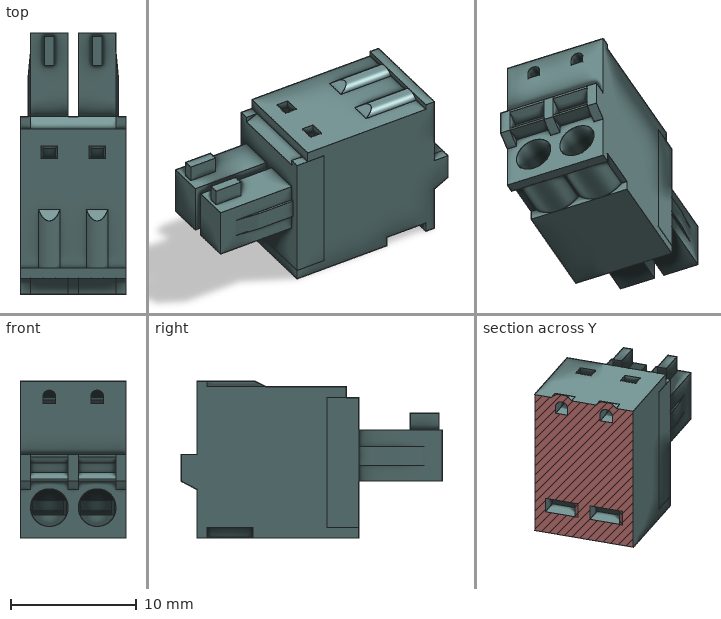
import cadquery as cq


pole_pitch = 3.8
pole_width = 3.0
pole_sides = (-1, 1)
poles_half_width = (pole_pitch + pole_width) / 2

width = 8.42
height = 12.5
top_z = 12.06
front_plate_depth = 0.81
top_rear_y = 11.88
rear_y = 12.88

nose_depth = 1.27
nose_top_z = 6.68
nose_bottom_z = 4.53
nose_chamfer_z = 3.87
button_pocket_depth = 2.08

ridge_width = 1.7
ridge_end_y = 5.5
ridge_full_y = 4.58

wire_z = 2.43
wire_bore_depth = 2.5
slot_width = 2.75
slot_height = 1.15
slot_bottom_z = wire_z - slot_height / 2
slot_top_z = wire_z + slot_height / 2
funnel_depth = (pole_width - slot_height) / 2
clamp_y = wire_bore_depth + funnel_depth
chamber_end_y = 6.25

notch_end_y = 4.47
notch_height = 0.83

test_width = 1.0
test_bottom_z = 10.73
test_axis_z = 11.27
test_end_y = 9.55
test_end_ceiling_z = 11.2
test_ceiling_drop_y = 8.7
test_top_z = test_axis_z + test_width / 2
window_width = 1.3
window_rear_y = 10.55
window_floor_z = 11.48
ramp_rear_y = 10.34
ramp_bottom_z = 10.98

frame_front_y = 10.35
frame_bottom_z = notch_height
frame_top_z = 11.2
frame_slope_drop = 0.44
socket_end_y = 19.53
socket_bottom_z = 4.53
socket_top_z = 8.61
key_width = 0.77
key_top_z = 9.95
key_start_y = 16.95
key_end_y = 19.26
side_rib_thickness = 0.19
side_rib_bottom_z = 5.8
side_rib_top_z = 7.3
side_rib_full_y = 16.08
side_rib_end_y = 18.05

grip_depth = 1.06
grip_top_z = 6.47
grip_back_top_z = 6.0
grip_back_bottom_z = 5.25
grip_bottom_z = 4.72

contact_thickness = 0.25
spring_side_gap = 0.05
spring_bend_y = clamp_y + 0.37
spring_bend_z = 2.2
spring_tip_y = spring_bend_y + 0.08
spring_tip_z = 2.08
spring_foot_y = spring_tip_y + 0.42


def block(x_range, y_range, z_range):
    """Box between the given limits."""
    (x0, x1), (y0, y1), (z0, z1) = x_range, y_range, z_range
    return cq.Workplane("XY").box(x1 - x0, y1 - y0, z1 - z0, centered=False).translate((x0, y0, z0))


def centred(x, size):
    """Limits of a span of the given size centred on x."""
    return (x - size / 2, x + size / 2)


def side_profile(points, x_range):
    """Prism along X from (y, z) points."""
    x0, x1 = x_range
    return cq.Workplane("YZ").polyline(points).close().extrude(x1 - x0).translate((x0, 0, 0))


def cylinder_along_y(x, z, radius, y_range):
    y0, y1 = y_range
    return cq.Workplane("XZ").circle(radius).extrude(y0 - y1).translate((x, y0, z))


def pole_x(side):
    return side * pole_pitch / 2


def housing_shell():
    """Outer shape: body, raised front plate and chamfered nose."""
    outline = [
        (0, 0),
        (rear_y, 0),
        (rear_y, frame_bottom_z),
        (frame_front_y, frame_bottom_z),
        (frame_front_y, frame_top_z),
        (top_rear_y, frame_top_z),
        (top_rear_y, top_z),
        (front_plate_depth, top_z),
        (front_plate_depth, height),
        (0, height),
        (0, nose_top_z),
        (-nose_depth, nose_top_z),
        (-nose_depth, nose_bottom_z),
        (0, nose_chamfer_z),
    ]
    return side_profile(outline, centred(0, width))


def top_ridge(x):
    """Rounded ridge behind the front plate, with a sloped rear end."""
    half_width = ridge_width / 2
    bar = (
        cq.Workplane("XZ")
        .moveTo(-half_width, top_z)
        .threePointArc((0, height), (half_width, top_z))
        .close()
        .extrude(-(ridge_end_y - front_plate_depth))
        .translate((x, front_plate_depth, 0))
    )
    envelope = [
        (front_plate_depth, top_z),
        (ridge_end_y, top_z),
        (ridge_full_y, height),
        (front_plate_depth, height),
    ]
    return bar.intersect(side_profile(envelope, centred(x, ridge_width)))


def underside_notch():
    """Notch across the underside that leaves a round bulge under each wire hole."""
    y_range = (front_plate_depth, notch_end_y)
    notch = block(centred(0, width), y_range, (0, notch_height))
    for side in pole_sides:
        notch = notch.cut(cylinder_along_y(pole_x(side), wire_z, wire_z, y_range))
    return notch


def button_bay(x):
    """Open bay in the nose and the pocket behind it."""
    x_range = centred(x, pole_width)
    bay = block(x_range, (-nose_depth, 0), (nose_chamfer_z, nose_top_z))
    return bay.union(block(x_range, (-nose_depth, button_pocket_depth), (nose_bottom_z, nose_top_z)))


def wire_entry(x):
    """Round bore, then a funnel down to the rectangular clamping chamber."""
    radius = pole_width / 2
    bore = cylinder_along_y(x, wire_z, radius, (0, wire_bore_depth))
    funnel_outline = [
        (wire_bore_depth, wire_z - radius),
        (clamp_y, slot_bottom_z),
        (clamp_y, slot_top_z),
        (wire_bore_depth, wire_z + radius),
    ]
    funnel = side_profile(funnel_outline, centred(x, pole_width)).intersect(
        cylinder_along_y(x, wire_z, radius, (wire_bore_depth, clamp_y))
    )
    chamber = block(centred(x, slot_width), (clamp_y, chamber_end_y), (slot_bottom_z, slot_top_z))
    return bore.union(funnel).union(chamber)


def test_hole(x):
    """Arched hole from the front whose ceiling drops just before the window shaft."""
    arch = (
        cq.Workplane("XZ")
        .moveTo(-test_width / 2, test_bottom_z)
        .lineTo(test_width / 2, test_bottom_z)
        .lineTo(test_width / 2, test_axis_z)
        .threePointArc((0, test_top_z), (-test_width / 2, test_axis_z))
        .close()
        .extrude(-test_end_y)
        .translate((x, 0, 0))
    )
    envelope = [
        (0, test_bottom_z),
        (test_end_y, test_bottom_z),
        (test_end_y, test_end_ceiling_z),
        (test_ceiling_drop_y, test_top_z),
        (0, test_top_z),
    ]
    return arch.intersect(side_profile(envelope, centred(x, test_width)))


def test_window(x):
    """Rectangular window in the top face with a ramp in its floor."""
    shaft = block(centred(x, window_width), (test_end_y, window_rear_y), (window_floor_z, top_z))
    ramp = [
        (test_end_y, ramp_bottom_z),
        (ramp_rear_y, window_floor_z),
        (test_end_y, window_floor_z),
    ]
    return shaft.union(side_profile(ramp, centred(x, test_width)))


def make_housing():
    housing = housing_shell().cut(underside_notch())
    for side in pole_sides:
        x = pole_x(side)
        housing = housing.union(top_ridge(x))
        for opening in (button_bay(x), wire_entry(x), test_hole(x), test_window(x)):
            housing = housing.cut(opening)
    return housing


def socket(side):
    """Socket block with a key on top and a tapered rib on its outer side."""
    x = pole_x(side)
    body = block(centred(x, pole_width), (rear_y, socket_end_y), (socket_bottom_z, socket_top_z))
    key = block(centred(x, key_width), (key_start_y, key_end_y), (socket_top_z, key_top_z))
    inner_x = side * poles_half_width
    outer_x = inner_x + side * side_rib_thickness
    rib_outline = [
        (inner_x, rear_y),
        (outer_x, rear_y),
        (outer_x, side_rib_full_y),
        (inner_x, side_rib_end_y),
    ]
    rib = (
        cq.Workplane("XY", origin=(0, 0, side_rib_bottom_z))
        .polyline(rib_outline)
        .close()
        .extrude(side_rib_top_z - side_rib_bottom_z)
    )
    return body.union(key).union(rib)


def make_frame():
    """Frame that closes the rear of the housing and carries both sockets."""
    frame = block(centred(0, width), (frame_front_y, rear_y), (frame_bottom_z, frame_top_z))
    slope = [
        (top_rear_y, frame_top_z),
        (rear_y, frame_top_z),
        (rear_y, frame_top_z - frame_slope_drop),
    ]
    frame = frame.cut(side_profile(slope, centred(0, 2 * poles_half_width)))
    for side in pole_sides:
        frame = frame.union(socket(side))
    return frame


def make_button(x):
    """Push button with a flared grip recess across its front."""
    x_range = centred(x, pole_width)
    body = block(x_range, (-nose_depth, button_pocket_depth), (nose_bottom_z, nose_top_z))
    grip_back_y = grip_depth - nose_depth
    grip = [
        (-nose_depth, grip_bottom_z),
        (grip_back_y, grip_back_bottom_z),
        (grip_back_y, grip_back_top_z),
        (-nose_depth, grip_top_z),
    ]
    return body.cut(side_profile(grip, x_range))


def contact_x_range(x):
    wall_x = x + slot_width / 2
    return (wall_x - contact_thickness, wall_x)


def make_contact(x):
    """Flat contact bar along the right wall of the clamping chamber."""
    return block(contact_x_range(x), (clamp_y, chamber_end_y), (slot_bottom_z, slot_top_z))


def make_spring(x):
    """Clamp spring beside the contact, its underside falling away from the wire."""
    outline = [
        (clamp_y, slot_top_z),
        (spring_bend_y, spring_bend_z),
        (spring_tip_y, spring_tip_z),
        (spring_foot_y, slot_bottom_z),
        (spring_foot_y, slot_top_z),
    ]
    left_x = x - slot_width / 2 + spring_side_gap
    return side_profile(outline, (left_x, contact_x_range(x)[0]))


housing = make_housing()
frame = make_frame()
buttons = [make_button(pole_x(side)) for side in pole_sides]
contacts = [make_contact(pole_x(side)) for side in pole_sides]
springs = [make_spring(pole_x(side)) for side in pole_sides]

pole_parts = buttons + contacts + springs
result = cq.Compound.makeCompound([housing.val(), frame.val(), *[part.val() for part in pole_parts]])